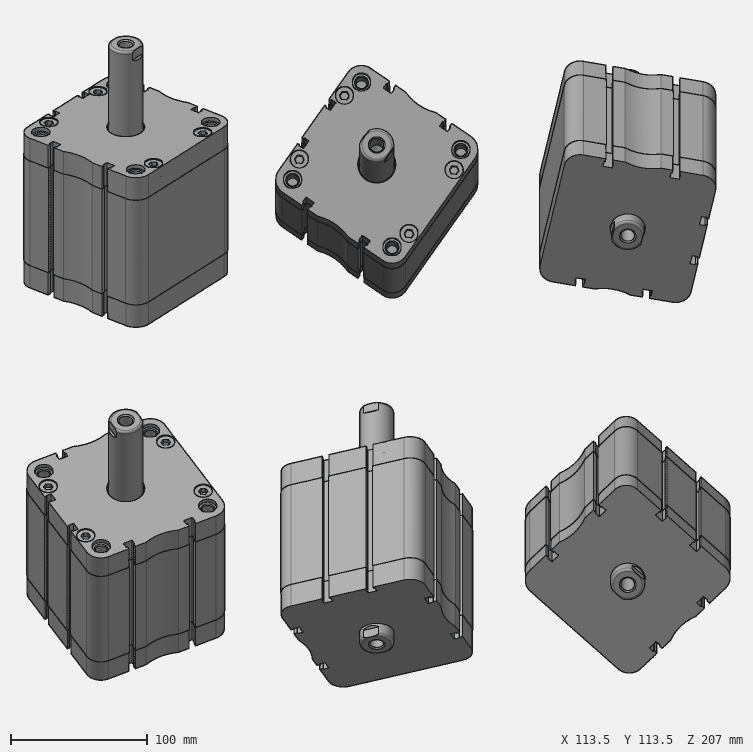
import cadquery as cq
import math


ROD_LENGTH = 207.0
HOUSING_BOTTOM = 10.1
END_CAP_HEIGHT = 19.0
BARREL_HEIGHT = 88.4
BARREL_BOTTOM = HOUSING_BOTTOM + END_CAP_HEIGHT
BARREL_TOP = BARREL_BOTTOM + BARREL_HEIGHT
CAP_TOP = BARREL_TOP + END_CAP_HEIGHT

WIDTH = 113.5
HALF_WIDTH = WIDTH / 2
CORNER_RADIUS = 12.0
END_INSET = 0.2

HOLLOW_RADIUS = 37.3
HOLLOW_DEPTH = 2.5

SLOT_MOUTH = 5.0
SLOT_WIDTH = 6.6
Y_SIDE_SLOT_OFFSET = 25.0
Y_SIDE_SLOT_DEPTH = 6.8
Y_SIDE_SLOT_LIP = 3.1
X_SIDE_SLOT_OFFSET = 17.4
X_SIDE_SLOT_DEPTH = 5.5
X_SIDE_SLOT_LIP = 2.0

ROD_DIAMETER = 25.0
ROD_END_ROUNDING = 1.9
ROD_FLATS_WIDTH = 22.0
ROD_FLATS_LENGTH = 7.2
ROD_HOLE_DIAMETER = 10.1
ROD_HOLE_MOUTH = 12.2
ROD_HOLE_DEPTH = 24.8
DRILL_POINT_ANGLE = 118.0

HOUSING_BORE_DIAMETER = 25.7
CAP_BORE_DIAMETER = 27.0
CAP_BORE_MOUTH = 28.0

MOUNT_OFFSET = 44.3
MOUNT_SINK_DIAMETER = 13.5
MOUNT_SINK_DEPTH = 3.1
MOUNT_HOLE_DIAMETER = 8.5
MOUNT_HOLE_MOUTH = 10.1
MOUNT_HOLE_DEPTH = 16.5

SCREW_X = 48.9
SCREW_Y = 29.0
SCREW_RECESS = 0.8
HEAD_DIAMETER = 13.0
HEAD_SINK_DIAMETER = 13.5
HEAD_HEIGHT = 8.0
SHANK_DIAMETER = 8.3
SHANK_LENGTH = 24.8
HEX_ACROSS_FLATS = 6.0
HEX_DEPTH = 4.0
HEAD_TOP = CAP_TOP - SCREW_RECESS
HEAD_BOTTOM = HEAD_TOP - HEAD_HEIGHT


def corner_points(x, y):
    """The four points mirrored about both axes."""
    return [(sx * x, sy * y) for sx in (-1, 1) for sy in (-1, 1)]


def cylinder(diameter, bottom, top):
    return cq.Workplane("XY").workplane(offset=bottom).circle(diameter / 2).extrude(top - bottom)


def countersunk_tool(diameter, mouth, face, depth):
    """Drill shape going down from the face, with a 45 degree countersink at the mouth."""
    radius = diameter / 2
    mouth_radius = mouth / 2
    sink_depth = mouth_radius - radius
    profile = [
        (0, face),
        (mouth_radius, face),
        (radius, face - sink_depth),
        (radius, face - depth),
        (0, face - depth),
    ]
    return cq.Workplane("XZ").polyline(profile).close().revolve(360, (0, 0), (0, 1))


def t_slot(offset, depth, lip, inset, bottom, height):
    """T-slot cutter open to the +Y side, centred at x = offset; inset widens it all round."""
    mouth = SLOT_MOUTH / 2 + inset
    wide = SLOT_WIDTH / 2 + inset
    floor = HALF_WIDTH - depth - inset
    shoulder = HALF_WIDTH - lip + inset
    outline = [
        (offset - mouth, HALF_WIDTH),
        (offset - mouth, shoulder),
        (offset - wide, shoulder),
        (offset - wide, floor),
        (offset + wide, floor),
        (offset + wide, shoulder),
        (offset + mouth, shoulder),
        (offset + mouth, HALF_WIDTH),
    ]
    return cq.Workplane("XY").workplane(offset=bottom).polyline(outline).close().extrude(height)


def section(bottom, height, inset):
    """A length of the slotted outline, with its whole surface moved in by inset."""
    side = WIDTH - 2 * inset
    block = cq.Workplane("XY").workplane(offset=bottom).rect(side, side).extrude(height)
    block = block.edges("|Z").fillet(CORNER_RADIUS - inset)

    hollow_center = HALF_WIDTH - HOLLOW_DEPTH + HOLLOW_RADIUS
    hollows = (
        cq.Workplane("XY")
        .workplane(offset=bottom)
        .pushPoints([(0, hollow_center), (0, -hollow_center)])
        .circle(HOLLOW_RADIUS + inset)
        .extrude(height)
    )
    block = block.cut(hollows)

    for sign in (-1, 1):
        y_slot = t_slot(
            sign * Y_SIDE_SLOT_OFFSET, Y_SIDE_SLOT_DEPTH, Y_SIDE_SLOT_LIP, inset, bottom, height
        )
        x_slot = t_slot(
            sign * X_SIDE_SLOT_OFFSET, X_SIDE_SLOT_DEPTH, X_SIDE_SLOT_LIP, inset, bottom, height
        )
        block = block.cut(y_slot).cut(y_slot.mirror("XZ"))
        block = block.cut(x_slot.rotate((0, 0, 0), (0, 0, 1), 90))
    return block


def screw_blank(head_diameter, top):
    """Screw head and shank without the socket; top is where the head's cylinder ends."""
    head = cylinder(head_diameter, HEAD_BOTTOM, top)
    shank = cylinder(SHANK_DIAMETER, HEAD_BOTTOM - SHANK_LENGTH, HEAD_BOTTOM)
    return head.union(shank)


def cut_screw_holes(body):
    hole = screw_blank(HEAD_SINK_DIAMETER, CAP_TOP)
    for x, y in corner_points(SCREW_X, SCREW_Y):
        body = body.cut(hole.translate((x, y, 0)))
    return body


def make_housing():
    """Barrel with its rear end section, bored for the rod and tapped for the cap screws."""
    barrel = section(BARREL_BOTTOM, BARREL_HEIGHT, 0)
    rear_end = section(HOUSING_BOTTOM, END_CAP_HEIGHT, END_INSET)
    body = barrel.union(rear_end)
    body = body.cut(cylinder(HOUSING_BORE_DIAMETER, HOUSING_BOTTOM, BARREL_TOP))
    return cut_screw_holes(body)


def make_front_cap():
    """Front cap with rod bore, corner mounting holes and sunk screw holes."""
    body = section(BARREL_TOP, END_CAP_HEIGHT, END_INSET)
    body = body.cut(countersunk_tool(CAP_BORE_DIAMETER, CAP_BORE_MOUTH, CAP_TOP, END_CAP_HEIGHT))

    sink_floor = CAP_TOP - MOUNT_SINK_DEPTH
    mount_hole = cylinder(MOUNT_SINK_DIAMETER, sink_floor, CAP_TOP).union(
        countersunk_tool(
            MOUNT_HOLE_DIAMETER, MOUNT_HOLE_MOUTH, sink_floor, MOUNT_HOLE_DEPTH - MOUNT_SINK_DEPTH
        )
    )
    for x, y in corner_points(MOUNT_OFFSET, MOUNT_OFFSET):
        body = body.cut(mount_hole.translate((x, y, 0)))
    return cut_screw_holes(body)


def rod_flat():
    """Cutter for the wrench flat on the +X side of the rod's top end, with a 45 degree run-out."""
    flat = ROD_FLATS_WIDTH / 2
    outside = ROD_DIAMETER
    flat_end = ROD_LENGTH - ROD_FLATS_LENGTH
    outline = [
        (flat, ROD_LENGTH),
        (flat, flat_end),
        (outside, flat_end - (outside - flat)),
        (outside, ROD_LENGTH),
    ]
    return cq.Workplane("XZ").polyline(outline).close().extrude(ROD_DIAMETER / 2, both=True)


def rod_end_hole():
    """Countersunk blind hole with a drill point in the rod's top end."""
    radius = ROD_HOLE_DIAMETER / 2
    shoulder = ROD_LENGTH - ROD_HOLE_DEPTH
    point_length = radius / math.tan(math.radians(DRILL_POINT_ANGLE / 2))
    point = (
        cq.Workplane("XZ")
        .polyline([(0, shoulder), (radius, shoulder), (0, shoulder - point_length)])
        .close()
        .revolve(360, (0, 0), (0, 1))
    )
    return countersunk_tool(ROD_HOLE_DIAMETER, ROD_HOLE_MOUTH, ROD_LENGTH, ROD_HOLE_DEPTH).union(point)


def make_rod():
    """Through rod, alike at both ends."""
    rod = cylinder(ROD_DIAMETER, 0, ROD_LENGTH)
    rod = rod.faces("<Z or >Z").edges().fillet(ROD_END_ROUNDING)
    middle = (0, 0, ROD_LENGTH / 2)
    flat = rod_flat()
    for cutter in (flat, flat.mirror("YZ"), rod_end_hole()):
        rod = rod.cut(cutter).cut(cutter.mirror("XY", middle))
    return rod


def make_screw(x, y):
    """Hexagon socket screw standing at x, y."""
    hex_diameter = HEX_ACROSS_FLATS / math.cos(math.radians(30))
    socket = (
        cq.Workplane("XY")
        .workplane(offset=HEAD_TOP - HEX_DEPTH)
        .polygon(6, hex_diameter)
        .extrude(HEX_DEPTH)
        .rotate((0, 0, 0), (0, 0, 1), 30)
    )
    return screw_blank(HEAD_DIAMETER, HEAD_TOP).cut(socket).translate((x, y, 0))


housing = make_housing()
front_cap = make_front_cap()
rod = make_rod()
screws = [make_screw(x, y) for x, y in corner_points(SCREW_X, SCREW_Y)]

result = cq.Compound.makeCompound(
    [housing.val(), front_cap.val(), rod.val(), *[screw.val() for screw in screws]]
)